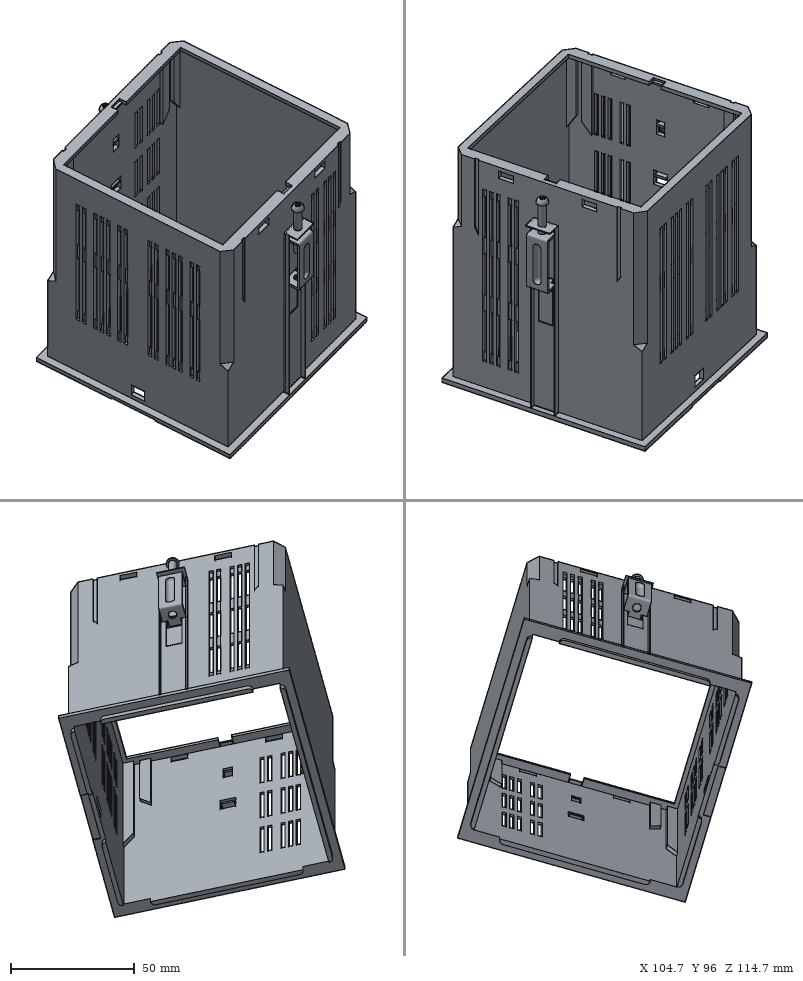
import cadquery as cq
import math

height = 114.7
body_side = 89.5
wall = 2.0
bezel_side = 96.0
bezel_bottom = 2.5
bezel_top = 4.7
body_half = body_side / 2
inner_half = body_half - wall

lip_height = 1.8
lip_half_x = 39.5
lip_half_y = 41.0
lip_notch_width = 5.7
notch_ledge_width = 5.0
notch_ledge_depth = 1.5
notch_ledge_drop = 0.9

side_rail_length = 63.5
long_rail_length = 84.0
front_gap = 22.9
largest_fillet = 0.99
grip_length = 21.5
grip_depth = 0.6

chamfer = 4.0
chamfer_slope_drop = 2.0
front_chamfer_bottom = 50.1
back_chamfer_bottom = 79.6
corner_block_depth = 1.7
corner_block_length = 4.4
corner_block_slope = 6.9

groove_center_y = 33.6
groove_width = 1.7
groove_depth = 0.7
groove_bottom_outer = 81.2
groove_bottom_inner = 78.2
ridge_depth = 1.4
ridge_width = 4.6
ridge_slope = 5.0

slot_width = 1.7
slot_pitch = 3.2
slot_group_step = 5.5
slot_first = 6.0
slot_depth = wall / 2
slot_rib = 8.0
slot_end = 4.0
slot_window = 20.0
tall_slot_window = 29.9
front_slot_top = 100.1
side_slot_top = 101.2

top_window_width = 7.0
top_window_height = 3.5
top_window_center_y = 19.7
top_window_center_z = 110.9
front_window_width = 6.5
front_window_height = 5.5
front_window_center_z = 9.5

set_offset_y = 0.5
guide_width = 11.6
guide_gap = 0.5
guide_sheet = 0.5
guide_inner = body_half + guide_gap
guide_floor = guide_inner + guide_sheet
guide_outer = 47.7
guide_top = 96.3
flange_outer = 51.8
clip_outer = 52.36
clip_sheet = 1.1
clip_bend_radius = 1.0
clip_width = 9.9
clip_top = 92.7
clip_bottom = 66.5
upper_tongue_width = 3.4
lower_tongue_width = 5.3
upper_hole_width = 3.9
upper_hole_top = 94.5
upper_hole_bottom = 87.6
lower_hole_width = 6.5
lower_hole_top = 69.5
lower_hole_bottom = 62.6
guide_hole_bottom = 46.7
bead_radius = 1.8
bead_top = 87.4
bead_bottom = 71.6

screw_diameter = 3.4
screw_axis = 48.0
screw_bottom = 82.9
head_diameter = 5.3
head_bottom = 107.4
head_height = 2.3
head_flat_diameter = 2.5
head_roundness = 0.65
recess_length = 2.3
recess_width = 0.6
recess_depth = 0.9


def block(x_range, y_range, z_range):
    """Box between the given coordinates, each pair in either order."""
    (x0, x1), (y0, y1), (z0, z1) = (sorted(pair) for pair in (x_range, y_range, z_range))
    return cq.Workplane("XY").box(x1 - x0, y1 - y0, z1 - z0, centered=False).translate((x0, y0, z0))


def centered(width, center=0.0):
    return (center - width / 2, center + width / 2)


def place_sets(shape):
    """Copies of a shape modelled at the -X wall: one there and one half a turn around Z."""
    left = shape.translate((0, set_offset_y, 0))
    return [left, left.rotate((0, 0, 0), (0, 0, 1), 180)]


def four_corners(shape):
    """Copies of a shape modelled in the +X +Y quarter, mirrored into all four quarters."""
    right = [shape, shape.mirror("XZ")]
    return right + [copy.mirror("YZ") for copy in right]


def sleeve():
    outer = cq.Workplane("XY").workplane(offset=bezel_bottom).rect(body_side, body_side)
    body = outer.extrude(height - bezel_bottom)
    bezel = cq.Workplane("XY").workplane(offset=bezel_bottom).rect(bezel_side, bezel_side)
    body = body.union(bezel.extrude(bezel_top - bezel_bottom))
    cavity_top = height - lip_height
    cavity = block(centered(2 * inner_half), centered(2 * inner_half), (0, cavity_top))
    mouth = block(centered(2 * lip_half_x), centered(2 * lip_half_y), (cavity_top, height))
    return body.cut(cavity).cut(mouth)


def gasket_rail(length):
    """Rail along X at the front wall, its two outer corners rounded over the full rail width."""
    rail = block(centered(length), (-body_half, -inner_half), (0, bezel_bottom))
    return rail.edges("|Z and <Y").fillet(wall * largest_fillet)


def gasket_rails():
    piece = (long_rail_length - front_gap) / 2
    piece_center = (long_rail_length + front_gap) / 4
    rails = [gasket_rail(piece).translate((side * piece_center, 0, 0)) for side in (-1, 1)]
    for length, turn in ((side_rail_length, 90), (long_rail_length, 180), (side_rail_length, 270)):
        rails.append(gasket_rail(length).rotate((0, 0, 0), (0, 0, 1), turn))
    return rails


def corner_chamfer(bottom):
    """Cutter for the +X +Y corner: a diagonal flat ending in a slope that runs down outwards."""
    flat = math.sqrt(2) * (body_half - chamfer / 2)
    corner = math.sqrt(2) * body_half
    outside = 2 * corner - flat
    profile = [
        (flat, bottom),
        (outside, bottom - 2 * chamfer_slope_drop),
        (outside, height),
        (flat, height),
    ]
    cutter = cq.Workplane("XZ").polyline(profile).close().extrude(2 * chamfer, both=True)
    return cutter.rotate((0, 0, 0), (0, 0, 1), 45)


def corner_block(chamfer_bottom):
    """Thickening behind the +X +Y chamfer, its underside sloping down into the corner."""
    low = chamfer_bottom - chamfer_slope_drop
    start = inner_half - corner_block_length
    profile = [
        (start, low + corner_block_slope),
        (inner_half, low),
        (inner_half, height - lip_height),
        (start, height - lip_height),
    ]
    solid = cq.Workplane("YZ").polyline(profile).close().extrude(corner_block_depth)
    return solid.translate((inner_half - corner_block_depth, 0, 0))


def snap_groove():
    near = groove_center_y - groove_width / 2
    far = groove_center_y + groove_width / 2
    profile = [(near, groove_bottom_inner), (far, groove_bottom_outer), (far, height), (near, height)]
    cutter = cq.Workplane("YZ").polyline(profile).close().extrude(groove_depth)
    return cutter.translate((body_half - groove_depth, 0, 0))


def snap_ridge():
    near = groove_center_y - ridge_width / 2
    far = groove_center_y + ridge_width / 2
    top = height - lip_height
    low = groove_bottom_inner - wall / 2
    profile = [(near, low), (far, low + ridge_slope), (far, top), (near, top)]
    solid = cq.Workplane("YZ").polyline(profile).close().extrude(ridge_depth)
    return solid.translate((inner_half - ridge_depth, 0, 0))


def vent_slot(top, windows):
    """Slot in the front wall at X = 0: a shallow channel with through windows between its ribs."""
    bottom = top - 2 * slot_end - sum(windows) - slot_rib * (len(windows) - 1)
    slot = block(centered(slot_width), (-body_half, -body_half + slot_depth), (bottom, top))
    window_top = top - slot_end
    for window in windows:
        opening = block(
            centered(slot_width), (-body_half, -inner_half), (window_top - window, window_top)
        )
        slot = slot.union(opening)
        window_top -= window + slot_rib
    return slot


def slot_positions(group_sizes):
    """Slot distances from the middle of the wall, group by group outwards."""
    positions = []
    position = slot_first
    for size in group_sizes:
        positions += [position + i * slot_pitch for i in range(size)]
        position = positions[-1] + slot_group_step
    return positions


def front_vents():
    slot = vent_slot(front_slot_top, [slot_window, tall_slot_window])
    return [slot.translate((side * x, 0, 0)) for x in slot_positions([2, 3, 2]) for side in (-1, 1)]


def side_vents():
    slot = vent_slot(side_slot_top, [slot_window] * 3)
    left = slot.rotate((0, 0, 0), (0, 0, 1), -90)
    vents = []
    for y in slot_positions([2, 2, 3])[2:]:
        vent = left.translate((0, y, 0))
        vents += [vent, vent.mirror("YZ")]
    return vents


def plain_windows():
    windows = [
        block(
            centered(bezel_side),
            centered(top_window_width, side * top_window_center_y),
            centered(top_window_height, top_window_center_z),
        )
        for side in (-1, 1)
    ]
    windows.append(
        block(
            centered(front_window_width),
            (-body_half, -inner_half),
            centered(front_window_height, front_window_center_z),
        )
    )
    return windows


def lip_notch():
    """Cutter through the lip at the +X wall that leaves a low ledge next to the wall."""
    lip_range = (height - lip_height, height)
    notch = block((lip_half_x, inner_half), centered(lip_notch_width), lip_range)
    ledge = block(
        (inner_half - notch_ledge_depth, inner_half),
        centered(notch_ledge_width),
        (height - lip_height, height - notch_ledge_drop),
    )
    return notch.cut(ledge)


def fastening_openings():
    """The two holes for the clip tongues in the -X wall."""
    wall_range = (-body_half, -inner_half)
    upper = block(wall_range, centered(upper_hole_width), (upper_hole_bottom, upper_hole_top))
    lower = block(wall_range, centered(lower_hole_width), (lower_hole_bottom, lower_hole_top))
    return [upper, lower]


def make_housing():
    housing = sleeve()
    for rail in gasket_rails():
        housing = housing.union(rail)
    front_block = corner_block(front_chamfer_bottom).mirror("XZ")
    back_block = corner_block(back_chamfer_bottom)
    for solid in (front_block, back_block):
        housing = housing.union(solid).union(solid.mirror("YZ"))
    for ridge in four_corners(snap_ridge()):
        housing = housing.union(ridge)

    front_cut = corner_chamfer(front_chamfer_bottom).mirror("XZ")
    back_cut = corner_chamfer(back_chamfer_bottom)
    cutters = [front_cut, front_cut.mirror("YZ"), back_cut, back_cut.mirror("YZ")]
    cutters += four_corners(snap_groove())
    cutters += front_vents() + side_vents() + plain_windows()
    cutters += [lip_notch(), lip_notch().mirror("YZ")]
    for opening in fastening_openings():
        cutters += place_sets(opening)
    grip = block(
        centered(grip_length),
        (-bezel_side / 2, -body_half),
        (bezel_bottom, bezel_bottom + grip_depth),
    )
    cutters.append(grip)
    for cutter in cutters:
        housing = housing.cut(cutter)
    return housing


def screw_hole():
    return cq.Workplane("XY").center(-screw_axis, 0).circle(screw_diameter / 2).extrude(height)


def make_guide():
    """Sheet channel along the -X wall, closed at the top by a flange that carries the screw."""
    z_range = (bezel_top, guide_top)
    guide = block((-guide_outer, -guide_inner), centered(guide_width), z_range)
    channel_width = guide_width - 2 * guide_sheet
    guide = guide.cut(block((-guide_outer, -guide_floor), centered(channel_width), z_range))
    flange_range = (guide_top - guide_sheet, guide_top)
    flange = block((-flange_outer, -guide_inner), centered(guide_width), flange_range)
    floor_range = (-guide_floor, -guide_inner)
    upper = block(floor_range, centered(upper_hole_width), (upper_hole_bottom, upper_hole_top))
    lower = block(floor_range, centered(lower_hole_width), (guide_hole_bottom, lower_hole_top))
    return guide.union(flange).cut(upper).cut(lower).cut(screw_hole())


def capsule(radius):
    """Round-ended rod standing in the outer face of the clip plate."""
    rod = cq.Workplane("XY").workplane(offset=bead_bottom).circle(radius).extrude(bead_top - bead_bottom)
    for z in (bead_bottom, bead_top):
        rod = rod.union(cq.Workplane("XY").sphere(radius).translate((0, 0, z)))
    return rod.translate((-clip_outer, 0, 0))


def make_clip():
    """C-shaped clip: a plate with a pressed bead, and two tabs whose tongues enter the wall."""
    floor = -guide_floor
    clip = block((-clip_outer, floor), centered(clip_width), (clip_bottom, clip_top))
    clip = clip.edges("|Y and <X").fillet(clip_bend_radius)
    inside = block(
        (-clip_outer + clip_sheet, floor),
        centered(clip_width),
        (clip_bottom + clip_sheet, clip_top - clip_sheet),
    )
    clip = clip.cut(inside)
    upper_z = (clip_top - clip_sheet, clip_top)
    lower_z = (clip_bottom, clip_bottom + clip_sheet)
    upper = block((floor, -inner_half), centered(upper_tongue_width), upper_z)
    lower = block((floor, -inner_half), centered(lower_tongue_width), lower_z)
    bead_outer_radius = clip_outer - screw_axis - screw_diameter / 2
    bulge = capsule(bead_outer_radius).intersect(
        block((-clip_outer, floor), centered(clip_width), (clip_bottom, clip_top))
    )
    clip = clip.union(upper).union(lower).union(bulge).cut(capsule(bead_radius))
    return clip.cut(screw_hole())


def make_screw():
    """Round-head screw with a cross recess."""
    shank_radius = screw_diameter / 2
    head_radius = head_diameter / 2
    flat_radius = head_flat_diameter / 2
    head_top = head_bottom + head_height
    middle = (
        flat_radius + (head_radius - flat_radius) * head_roundness,
        head_bottom + head_height * head_roundness,
    )
    screw = (
        cq.Workplane("XZ")
        .moveTo(0, screw_bottom)
        .lineTo(shank_radius, screw_bottom)
        .lineTo(shank_radius, head_bottom)
        .lineTo(head_radius, head_bottom)
        .threePointArc(middle, (flat_radius, head_top))
        .lineTo(0, head_top)
        .close()
        .revolve(360, (0, 0), (0, 1))
    )
    depth_range = (head_top - recess_depth, head_top)
    arm_x = block(centered(recess_length), centered(recess_width), depth_range)
    arm_y = block(centered(recess_width), centered(recess_length), depth_range)
    return screw.cut(arm_x).cut(arm_y).translate((-screw_axis, 0, 0))


housing = make_housing()
guides = place_sets(make_guide())
clips = place_sets(make_clip())
screws = place_sets(make_screw())

result = cq.Compound.makeCompound([housing.val()] + [body.val() for body in guides + clips + screws])